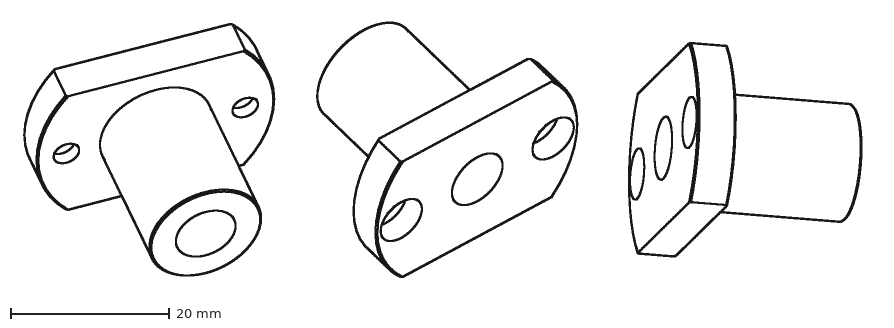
import cadquery as cq

flange_diameter = 31.9
flange_height = 21.0
flange_thickness = 5.0

total_length = 24.0
barrel_diameter = 15.0
bore_diameter = 8.0
edge_chamfer = 0.2

screw_spacing = 24.0
screw_hole_diameter = 3.4
counterbore_diameter = 6.5
counterbore_depth = 3.3


def cylinder_along_x(diameter, start, length):
    """Solid cylinder on the X axis, beginning at X = start."""
    return cq.Workplane("YZ", origin=(start, 0, 0)).circle(diameter / 2).extrude(length)


def make_flange():
    """Disc with both rims chamfered, then trimmed flat at top and bottom."""
    disc = cylinder_along_x(flange_diameter, 0, flange_thickness).edges("%CIRCLE").chamfer(edge_chamfer)
    flats = cq.Workplane("XY").box(2 * flange_thickness, flange_diameter, flange_height)
    return disc.intersect(flats)


def make_barrel():
    """Full-length cylinder with a chamfered free end."""
    return cylinder_along_x(barrel_diameter, 0, total_length).faces(">X").chamfer(edge_chamfer)


def make_screw_hole(y):
    """Through hole with its counterbore opening on the flange face."""
    hole = cylinder_along_x(screw_hole_diameter, 0, flange_thickness)
    counterbore = cylinder_along_x(counterbore_diameter, 0, counterbore_depth)
    return hole.union(counterbore).translate((0, y, 0))


result = make_flange().union(make_barrel())
result = result.cut(cylinder_along_x(bore_diameter, 0, total_length))
for side in (-1, 1):
    result = result.cut(make_screw_hole(side * screw_spacing / 2))